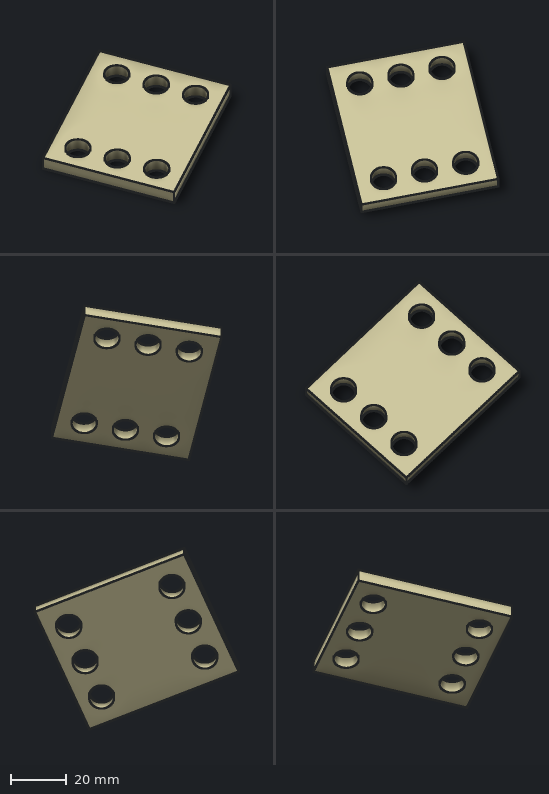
import cadquery as cq

width = 50.0
length = 58.0
thickness = 5.4

hole_diameter = 9.0
holes_per_row = 3
row_count = 2
hole_pitch = 15.0
row_spacing = 40.0

plate = cq.Workplane("XY").box(width, length, thickness)

result = (
    plate.faces(">Z")
    .workplane()
    .rarray(hole_pitch, row_spacing, holes_per_row, row_count)
    .hole(hole_diameter)
)